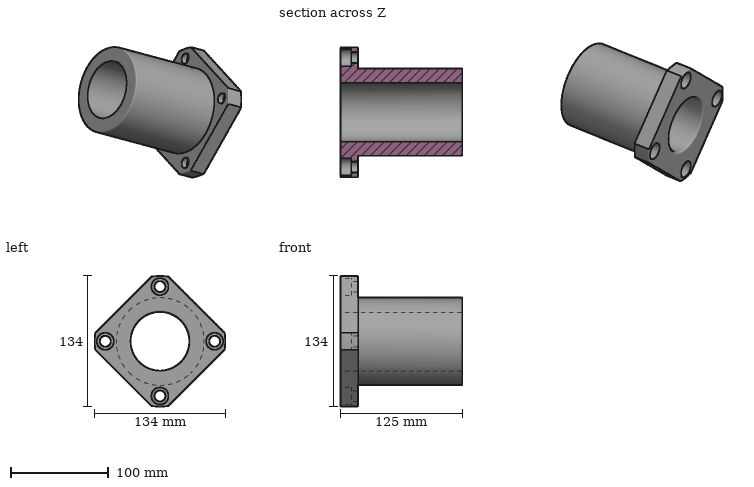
import cadquery as cq
import math

TOTAL_LENGTH = 125.0
BODY_DIAMETER = 90.0
BORE_DIAMETER = 60.0

FLANGE_DIAMETER = 134.0
FLANGE_SQUARE = 106.0
FLANGE_THICKNESS = 18.0
FLANGE_TURN = 45.0

HOLE_CIRCLE_DIAMETER = 112.0
HOLE_COUNT = 4
HOLE_DIAMETER = 11.0
COUNTERBORE_DIAMETER = 17.5
COUNTERBORE_DEPTH = 11.0

FLANGE_RIM_FILLET = 1.0
BODY_END_FILLET = 1.5
BORE_MOUTH_FILLET = 2.0


def x_cylinder(diameter, length):
    """Cylinder along the X axis, starting at X = 0."""
    return cq.Workplane("YZ").circle(diameter / 2).extrude(length)


def make_flange():
    """Disc with rounded rim, trimmed by a square turned onto its corner."""
    disc = x_cylinder(FLANGE_DIAMETER, FLANGE_THICKNESS).edges().fillet(FLANGE_RIM_FILLET)
    square = (
        cq.Workplane("YZ")
        .rect(FLANGE_SQUARE, FLANGE_SQUARE)
        .extrude(FLANGE_THICKNESS)
        .rotate((0, 0, 0), (1, 0, 0), FLANGE_TURN)
    )
    return disc.intersect(square)


def make_body():
    """Long sleeve with its free end's outer edge rounded."""
    return x_cylinder(BODY_DIAMETER, TOTAL_LENGTH).faces(">X").edges().fillet(BODY_END_FILLET)


def make_bore():
    """Through bore with a rounded mouth at the flange face."""
    radius = BORE_DIAMETER / 2
    mouth_radius = radius + BORE_MOUTH_FILLET
    arc_offset = BORE_MOUTH_FILLET * (1 - math.sqrt(0.5))
    return (
        cq.Workplane("XY")
        .lineTo(0, mouth_radius)
        .threePointArc((arc_offset, radius + arc_offset), (BORE_MOUTH_FILLET, radius))
        .lineTo(TOTAL_LENGTH, radius)
        .lineTo(TOTAL_LENGTH, 0)
        .close()
        .revolve(360, (0, 0, 0), (1, 0, 0))
    )


def make_mounting_hole(angle):
    """Counterbored hole entering from the flange's outer face."""
    hole = x_cylinder(HOLE_DIAMETER, FLANGE_THICKNESS)
    counterbore = x_cylinder(COUNTERBORE_DIAMETER, COUNTERBORE_DEPTH)
    radius = HOLE_CIRCLE_DIAMETER / 2
    y = radius * math.cos(math.radians(angle))
    z = radius * math.sin(math.radians(angle))
    return hole.union(counterbore).translate((0, y, z))


result = make_flange().union(make_body()).cut(make_bore())
for index in range(HOLE_COUNT):
    result = result.cut(make_mounting_hole(index * 360 / HOLE_COUNT))